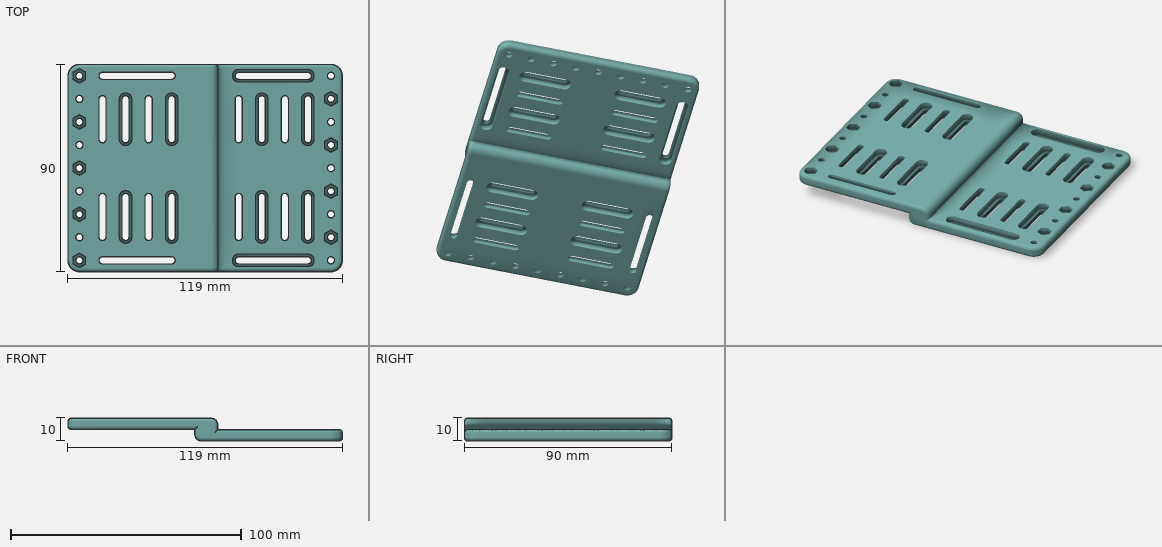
import cadquery as cq

LENGTH = 119.0
WIDTH = 90.0
PLATE_THICKNESS = 5.0
UPPER_END = 65.0
LOWER_START = 55.0

CORNER_RADIUS = 5.1
STEP_RADIUS = 3.0
RIM_RADIUS = 1.5

PITCH = 10.0
HOLE_COUNT = 9
EDGE_OFFSET = 5.0
BORE = 3.0
NUT_FLATS = 5.5
RECESS_WIDTH = NUT_FLATS
POCKET_DEPTH = 3.0
SLOTS_PER_BANK = 4
CROSS_SLOT_Y = 21.2
CROSS_SLOT_SPAN = 17.4

HEIGHT = 2 * PLATE_THICKNESS
LONG_SLOT_Y = WIDTH / 2 - EDGE_OFFSET
BANK_SPAN = (SLOTS_PER_BANK - 1) * PITCH
LEFT_HOLES_X = EDGE_OFFSET
RIGHT_HOLES_X = LENGTH - EDGE_OFFSET
LEFT_BANK_X = LEFT_HOLES_X + PITCH
RIGHT_BANK_X = RIGHT_HOLES_X - PITCH - BANK_SPAN


def stepped_plate():
    """Two overlapping plates joined by a step, with every outer edge rounded."""
    body = (
        cq.Workplane("XZ")
        .polyline([
            (0, PLATE_THICKNESS),
            (LOWER_START, PLATE_THICKNESS),
            (LOWER_START, 0),
            (LENGTH, 0),
            (LENGTH, PLATE_THICKNESS),
            (UPPER_END, PLATE_THICKNESS),
            (UPPER_END, HEIGHT),
            (0, HEIGHT),
        ])
        .close()
        .extrude(WIDTH / 2, both=True)
    )
    body = body.edges("|Z and (<X or >X)").fillet(CORNER_RADIUS)
    upper_step = cq.selectors.NearestToPointSelector((UPPER_END, 0, HEIGHT))
    lower_step = cq.selectors.NearestToPointSelector((LOWER_START, 0, 0))
    body = body.edges(upper_step).fillet(STEP_RADIUS)
    body = body.edges(lower_step).fillet(STEP_RADIUS)
    return body.faces("<Y or >Y").edges("not (|Z and (<X or >X))").fillet(RIM_RADIUS)


def through_slot(x, y, span, angle, top, from_top):
    """Cutter for a slot with a wider recess sunk from the top or the bottom face of its plate."""
    slot = (
        cq.Workplane("XY").center(x, y)
        .slot2D(span + BORE, BORE, angle)
        .extrude(HEIGHT)
    )
    recess_floor = top - POCKET_DEPTH if from_top else top - PLATE_THICKNESS
    recess = (
        cq.Workplane("XY", origin=(x, y, recess_floor))
        .slot2D(span + RECESS_WIDTH, RECESS_WIDTH, angle)
        .extrude(POCKET_DEPTH)
    )
    return slot.union(recess)


def slot_bank(first_x, top, long_from_top):
    """Cutter for one plate: a slot along each side edge and two rows of slots across the width."""
    cutter = cq.Workplane("XY")
    for side in (-1, 1):
        middle_x = first_x + BANK_SPAN / 2
        cutter = cutter.add(
            through_slot(middle_x, side * LONG_SLOT_Y, BANK_SPAN, 0, top, long_from_top)
        )
        for i in range(SLOTS_PER_BANK):
            from_top = i % 2 == 1
            cutter = cutter.add(
                through_slot(first_x + i * PITCH, side * CROSS_SLOT_Y, CROSS_SLOT_SPAN, 90, top, from_top)
            )
    return cutter.combine()


def hole_row(x, top, first_pocket):
    """Cutter for a row of holes, every second one with a hexagon nut pocket."""
    ys = [(i - (HOLE_COUNT - 1) / 2) * PITCH for i in range(HOLE_COUNT)]
    holes = (
        cq.Workplane("XY")
        .pushPoints([(x, y) for y in ys])
        .circle(BORE / 2)
        .extrude(HEIGHT)
    )
    nut_pocket = (
        cq.Workplane("XY", origin=(x, 0, top))
        .polygon(6, NUT_FLATS, circumscribed=True)
        .extrude(-POCKET_DEPTH)
    )
    for y in ys[first_pocket::2]:
        holes = holes.union(nut_pocket.translate((0, y, 0)))
    return holes


result = (
    stepped_plate()
    .cut(slot_bank(LEFT_BANK_X, HEIGHT, long_from_top=False))
    .cut(slot_bank(RIGHT_BANK_X, PLATE_THICKNESS, long_from_top=True))
    .cut(hole_row(LEFT_HOLES_X, HEIGHT, first_pocket=0))
    .cut(hole_row(RIGHT_HOLES_X, PLATE_THICKNESS, first_pocket=1))
)